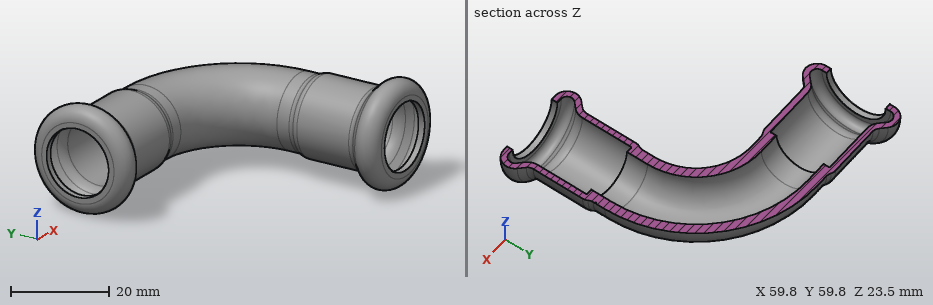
import cadquery as cq
import math

overall_length = 59.75
bead_diameter = 23.5
sleeve_diameter = 18.0
pipe_diameter = 16.8
bore_diameter = 11.95
wall = 1.5
bead_radius = 3.0

sleeve_start = 7.75
sleeve_end = 20.3
neck_end = 22.6
bend_start = 25.5

axis_distance = overall_length - bead_diameter / 2
bend_radius = axis_distance - bend_start
sleeve_radius = sleeve_diameter / 2
pipe_radius = pipe_diameter / 2
bore_radius = bore_diameter / 2
socket_radius = sleeve_radius - wall
bead_centre_radius = bead_diameter / 2 - bead_radius

flare_angle = math.radians(45)
cone_intercept = bead_radius + bead_centre_radius + bead_radius / math.cos(flare_angle)
fillet_radius = (sleeve_start + sleeve_radius - cone_intercept) / (
    math.tan(flare_angle / 2)
)


def arc_point(centre, radius, angle):
    """Point at an angle from the radial direction, turning towards the bend."""
    return (
        centre[0] + radius * math.sin(angle),
        centre[1] + radius * math.cos(angle),
    )


def add_bead_and_flare(profile, offset):
    """Draw bead, cone and fillet, offset inward from the outer surface."""
    bead_centre = (bead_radius, bead_centre_radius)
    fillet_centre = (sleeve_start, sleeve_radius + fillet_radius)
    radius = bead_radius - offset
    hollow = fillet_radius + offset
    return (
        profile.lineTo(bead_radius - radius, bead_centre_radius)
        .threePointArc(
            arc_point(bead_centre, radius, (flare_angle - math.pi / 2) / 2),
            arc_point(bead_centre, radius, flare_angle),
        )
        .lineTo(*arc_point(fillet_centre, hollow, math.pi + flare_angle))
        .threePointArc(
            arc_point(fillet_centre, hollow, math.pi + flare_angle / 2),
            (sleeve_start, sleeve_radius - offset),
        )
    )


def revolve_profile(profile):
    return profile.close().revolve(360, (0, 0, 0), (1, 0, 0))


def socket_body():
    """Solid socket along +X with its mouth at the origin."""
    neck_middle = (sleeve_end + neck_end) / 2
    middle_radius = (sleeve_radius + pipe_radius) / 2
    half_length = neck_middle - sleeve_end
    half_drop = sleeve_radius - middle_radius
    neck_arc_radius = (half_length**2 + half_drop**2) / (2 * half_drop)
    half_turn = math.atan2(half_drop, half_length)
    sleeve_arc_centre = (sleeve_end, sleeve_radius - neck_arc_radius)
    pipe_arc_centre = (neck_end, pipe_radius + neck_arc_radius)

    profile = add_bead_and_flare(cq.Workplane("XY"), 0)
    profile = (
        profile.lineTo(sleeve_end, sleeve_radius)
        .threePointArc(
            arc_point(sleeve_arc_centre, neck_arc_radius, half_turn),
            (neck_middle, middle_radius),
        )
        .threePointArc(
            arc_point(pipe_arc_centre, neck_arc_radius, math.pi + half_turn),
            (neck_end, pipe_radius),
        )
        .lineTo(bend_start, pipe_radius)
        .lineTo(bend_start, 0)
    )
    return revolve_profile(profile)


def socket_cavity():
    """Socket opening with its seal groove, insertion stop and pipe bore."""
    profile = cq.Workplane("XY").lineTo(0, socket_radius).lineTo(wall, socket_radius)
    profile = (
        add_bead_and_flare(profile, wall)
        .lineTo(sleeve_end, socket_radius)
        .lineTo(sleeve_end, bore_radius)
        .lineTo(bend_start, bore_radius)
        .lineTo(bend_start, 0)
    )
    return revolve_profile(profile)


def socket():
    return socket_body().cut(socket_cavity())


def bend():
    """Hollow quarter bend continuing from the end of the first socket."""
    return (
        cq.Workplane("YZ", origin=(bend_start, 0, 0))
        .circle(pipe_radius)
        .circle(bore_radius)
        .revolve(90, (-bend_radius, 0.6, 0), (-bend_radius, 0, 0))
    )


first_socket = socket()
second_socket = (
    socket()
    .rotate((0, 0, 0), (0, 0, 1), 90)
    .translate((axis_distance, -axis_distance, 0))
)
result = first_socket.union(bend()).union(second_socket)